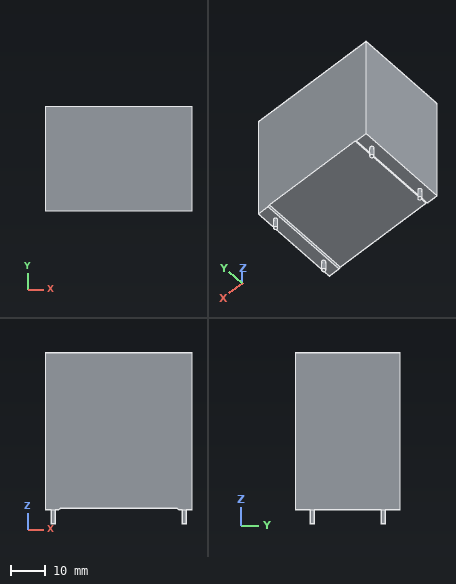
import cadquery as cq

BODY_LENGTH = 42.0
BODY_WIDTH = 30.0
BODY_HEIGHT = 45.0

FOOT_LENGTH = 3.8
CHANNEL_DEPTH = 0.4
CHANNEL_SIDE_RUN = 0.5

PIN_DIAMETER = 1.2
PIN_LENGTH = 4.0
PIN_PITCH_X = 37.5
PIN_PITCH_Y = 20.3


def make_body():
    """Extrude the front outline, including the channel, along the width."""
    half_length = BODY_LENGTH / 2
    channel_mouth = half_length - FOOT_LENGTH
    channel_roof = channel_mouth - CHANNEL_SIDE_RUN
    outline = [
        (-half_length, 0),
        (-channel_mouth, 0),
        (-channel_roof, CHANNEL_DEPTH),
        (channel_roof, CHANNEL_DEPTH),
        (channel_mouth, 0),
        (half_length, 0),
        (half_length, BODY_HEIGHT),
        (-half_length, BODY_HEIGHT),
    ]
    return cq.Workplane("XZ").polyline(outline).close().extrude(BODY_WIDTH / 2, both=True)


def make_pins():
    """Pins hanging down from the undersides of the foot rails."""
    return (
        cq.Workplane("XY")
        .rarray(PIN_PITCH_X, PIN_PITCH_Y, 2, 2)
        .circle(PIN_DIAMETER / 2)
        .extrude(-PIN_LENGTH)
    )


result = make_body().union(make_pins())